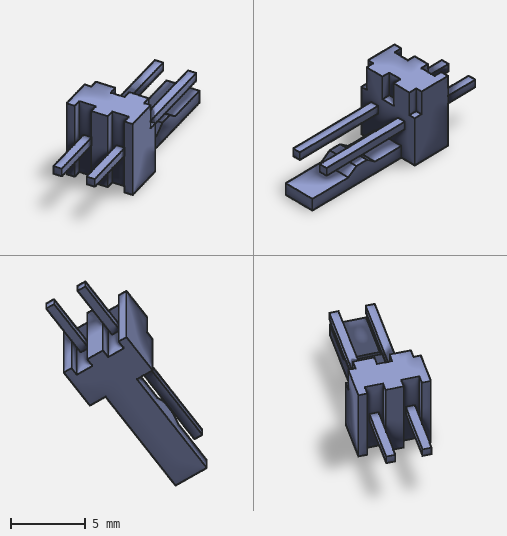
import cadquery as cq

pitch = 2.54
pin_count = 2
total_length = 15.24

body_width = pin_count * pitch
body_length = 3.18
body_height = 5.84
body_front = 0.0
body_back = body_front + body_length

channel_width = pitch / 2
channel_depth = 0.64

notch_depth = 0.65
notch_height = 1.89
corner_notch_width = 0.51
middle_notch_width = 1.06

pin_size = 0.64
pin_front_reach = 3.56
pin_back_reach = 7.47
pin_center_height = 2.86

tongue_width = pitch
tongue_thickness = 0.98
tongue_reach = total_length - pin_front_reach - body_length
tongue_back = body_back + tongue_reach

bump_base_length = 2.54
bump_crest_length = 1.0
bump_height = 0.56
bump_setback = 3.8
bump_center = body_back + bump_setback

pin_positions = [(i - (pin_count - 1) / 2) * pitch for i in range(pin_count)]


def block(x_center, width, y_start, y_end, z_start, z_end):
    """Axis-aligned box, centred across X and bounded in Y and Z."""
    box = cq.Workplane("XY").box(width, y_end - y_start, z_end - z_start, centered=(True, False, False))
    return box.translate((x_center, y_start, z_start))


def make_housing():
    housing = block(0, body_width, body_front, body_back, 0, body_height)
    for x in pin_positions:
        housing = housing.cut(block(x, channel_width, body_front, body_front + channel_depth, 0, body_height))

    corner_offset = (body_width - corner_notch_width) / 2
    notches = [
        (-corner_offset, corner_notch_width),
        (0, middle_notch_width),
        (corner_offset, corner_notch_width),
    ]
    for x, width in notches:
        notch = block(x, width, body_back - notch_depth, body_back, body_height - notch_height, body_height)
        housing = housing.cut(notch)
    return housing


def make_tongue():
    bump_top = tongue_thickness + bump_height
    side_profile = [
        (body_back, 0),
        (tongue_back, 0),
        (tongue_back, tongue_thickness),
        (bump_center + bump_base_length / 2, tongue_thickness),
        (bump_center + bump_crest_length / 2, bump_top),
        (bump_center - bump_crest_length / 2, bump_top),
        (bump_center - bump_base_length / 2, tongue_thickness),
        (body_back, tongue_thickness),
    ]
    return cq.Workplane("YZ").polyline(side_profile).close().extrude(tongue_width / 2, both=True)


def make_pin(x):
    return block(
        x,
        pin_size,
        body_front - pin_front_reach,
        body_back + pin_back_reach,
        pin_center_height - pin_size / 2,
        pin_center_height + pin_size / 2,
    )


result = make_housing().union(make_tongue())
for pin_x in pin_positions:
    result = result.union(make_pin(pin_x))